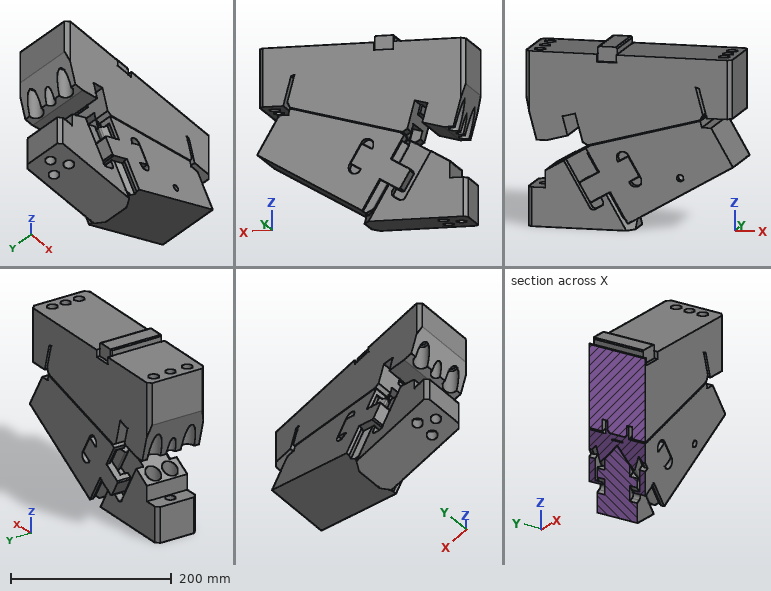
import cadquery as cq
import math

overall_length = 267.0
cam_angle = 15.0
guide_angle = 30.0
body_width = 85.0
corner_chamfer = 5.0
clear_hole = 13.0
bolt_hole = 13.5
bolt_head = 20.0
vee_angle = 30.0
vee_slope = math.tan(math.radians(vee_angle))
reach = 2 * overall_length

driver_length = 265.0
driver_top = 224.8
driver_rear_bottom = 150.0
nose_slope_top = 167.0
foot_bottom = 112.5
foot_cam_offset = 101.5
notch_start = 83.5
cam_start = 100.5
cam_end = 260.3
rear_slot_width = 4.0
rear_slot_top = 126.0
rear_slot_drop = 3.0
notch_top = 126.5
cam_face = 84.5
cam_chamfer = 5.0
cam_groove_half = 22.2
cam_groove_top = 99.9
lug_thickness = 2.7
lug_bottom = 113.8
keel_half = 15.0
keel_bottom = 84.0
keel_chamfer = 3.2
key_start = 92.0
key_width = 25.0
key_length = 75.3
key_slot_floor = 215.0
key_top = 234.0
key_front_bevel = 1.0
key_bevel = 2.0
front_hole_x = 15.0
front_bolt_spread = 25.0
front_bolt_seat = 165.5
rear_hole_x = 250.0
rear_bolt_spread = 20.0

base_width = 60.3
base_length = 135.5
ledge_height = 50.0
ledge_length = 22.5
shoulder_height = 71.5
vee_crest = 127.5
neck_half = 19.5
pocket_start = 83.0
pocket_bottom = -21.4
pocket_radius = 5.0
lip_start = 102.0
lip_top = 7.5
base_bolt_x = 35.0
base_bolt_spread = 12.5
base_bolt_seat = 20.0

slide_bottom = -56.0
slide_front = 120.0
slide_front_top = 52.0
slide_top = 83.0
slide_top_start = 108.1
slide_top_end = 255.0
rear_step_height = 138.0
tip_top = 44.5
tip_chamfer_start = -44.9
tip_chamfer_end = 118.0
tip_radius = 2.1
land_half = 38.0
root_half = 32.3
relief_half = 25.6
tongue_half = 17.5
tongue_bottom = 77.5
tongue_start = 111.5
tongue_end = 253.7
tongue_top = 98.8
strap_bottom = -11.0
strap_top = 18.0
strap_start = 90.5
strap_end = 163.1
strap_thickness = 9.3
hook_length = 9.3
hook_inner = 22.5
strap_chamfer = 2.0
recess_along = 156.0
recess_radius = 8.0
recess_centre_low = -12.8
recess_centre_high = 19.2
side_hole_along = 208.8
side_hole_across = -36.5
side_hole_diameter = 8.5
side_hole_depth = 8.0
drill_half_angle = 59.0


def tilted(angle, along, across):
    """Side-plane point (x, z) given by distances along and square to a slope."""
    c = math.cos(math.radians(angle))
    s = math.sin(math.radians(angle))
    return (along * c - across * s, along * s + across * c)


def on_cam(along, across):
    return tilted(cam_angle, along, across)


def on_guide(along, across):
    return tilted(guide_angle, along, across)


def cam_at_height(along, z):
    """Point at height z on the line square to the cam slope."""
    a = math.radians(cam_angle)
    return on_cam(along, (z - along * math.sin(a)) / math.cos(a))


def guide_at_height(along, z):
    """Point at height z on the line square to the working direction."""
    a = math.radians(guide_angle)
    return on_guide(along, (z - along * math.sin(a)) / math.cos(a))


def slab(points, y_low, y_high):
    """Prism of a side outline between two Y positions."""
    return cq.Workplane("XZ", origin=(0, y_high, 0)).polyline(points).close().extrude(y_high - y_low)


def box_on(place, along, across, y_low, y_high):
    """Tilted block with (low, high) ranges along and square to a slope."""
    corners = [
        place(along[0], across[0]),
        place(along[1], across[0]),
        place(along[1], across[1]),
        place(along[0], across[1]),
    ]
    return slab(corners, y_low, y_high)


def upright(x, y, diameter, z_low, z_high):
    return cq.Workplane("XY", origin=(x, y, z_low)).circle(diameter / 2).extrude(z_high - z_low)


def side_ranges(inner, outer):
    """Y ranges of a feature repeated on both sides of the middle plane."""
    return [(-outer, -inner), (inner, outer)]


def corner(block, along, across, y=0):
    """Select the edge of a block whose middle is nearest a point placed on the guide."""
    x, z = on_guide(along, across)
    return block.edges(cq.selectors.NearestToPointSelector((x, y, z)))


def guide_section(start):
    """Plane across the guide: local x runs across the width, local y along the working direction."""
    x, z = on_guide(0, start)
    dx, dz = on_guide(0, 1)
    plane = cq.Plane(origin=(x, 0, z), xDir=(0, -1, 0), normal=(dx, 0, dz))
    return cq.Workplane(plane)


def make_driver():
    a = math.radians(cam_angle)
    nose_foot_x = (nose_slope_top - foot_bottom) * math.tan(a)
    foot_heel_x = (foot_bottom * math.cos(a) - foot_cam_offset) / math.sin(a)
    outline = [
        (0, driver_top),
        (0, nose_slope_top),
        (nose_foot_x, foot_bottom),
        (foot_heel_x, foot_bottom),
        on_cam(notch_start, foot_cam_offset),
        on_cam(notch_start, notch_top),
        on_cam(cam_start, notch_top),
        on_cam(cam_start, cam_face + cam_chamfer),
        on_cam(cam_start + cam_chamfer, cam_face),
        on_cam(cam_end - cam_chamfer, cam_face),
        on_cam(cam_end, cam_face + cam_chamfer),
        on_cam(cam_end, rear_slot_top),
        on_cam(cam_end + rear_slot_width, rear_slot_top - rear_slot_drop),
        cam_at_height(cam_end + rear_slot_width, driver_rear_bottom),
        (driver_length, driver_rear_bottom),
        (driver_length, driver_top),
    ]
    body = slab(outline, -body_width / 2, body_width / 2)
    plan = (
        cq.Workplane("XY")
        .box(driver_length, body_width, driver_top, centered=(False, True, False))
        .edges("|Z")
        .chamfer(corner_chamfer)
    )
    body = body.intersect(plan)

    groove = box_on(on_cam, (cam_start, cam_end), (0, cam_groove_top), -cam_groove_half, cam_groove_half)
    lug_points = [
        on_cam(cam_start, notch_top),
        on_cam(cam_start - lug_thickness, notch_top),
        on_cam(cam_start - lug_thickness, lug_bottom + lug_thickness),
        on_cam(cam_start, lug_bottom),
    ]
    body = body.cut(groove).union(slab(lug_points, -keel_half, keel_half)).union(make_keel())

    for y in (-front_bolt_spread, front_bolt_spread):
        body = body.cut(upright(front_hole_x, y, bolt_hole, 0, driver_top))
        body = body.cut(upright(front_hole_x, y, bolt_head, 0, front_bolt_seat))
    for y in (-rear_bolt_spread, rear_bolt_spread):
        body = body.cut(upright(rear_hole_x, y, bolt_hole, 0, driver_top))
    for x in (front_hole_x, rear_hole_x):
        body = body.cut(upright(x, 0, clear_hole, 0, driver_top))

    return body.cut(key_block(body_width, driver_top)).union(make_key())


def make_keel():
    """Bevelled keel in the driver's groove that runs in a channel of the slide's tongue."""
    x, z = on_cam(tongue_start, 0)
    dx, dz = on_cam(1, 0)
    plane = cq.Plane(origin=(x, 0, z), xDir=(0, 1, 0), normal=(dx, 0, dz))
    return (
        cq.Workplane(plane)
        .polyline([
            (-keel_half, cam_groove_top),
            (-keel_half, keel_bottom + keel_chamfer),
            (keel_chamfer - keel_half, keel_bottom),
            (keel_half - keel_chamfer, keel_bottom),
            (keel_half, keel_bottom + keel_chamfer),
            (keel_half, cam_groove_top),
        ])
        .close()
        .extrude(tongue_end - tongue_start)
    )


def key_block(length, top):
    return cq.Workplane("XY", origin=(key_start, 0, key_slot_floor)).box(
        key_width, length, top - key_slot_floor, centered=(False, True, False)
    )


def make_key():
    key = key_block(key_length, key_top)
    key = key.faces(">Z").edges(">X").chamfer(key_bevel)
    top_bevel = [
        (key_start, key_top - key_bevel),
        (key_start + key_front_bevel, key_top),
        (key_start, key_top),
    ]
    end_bevel = [
        (key_start, key_length / 2 - key_bevel),
        (key_start + key_front_bevel, key_length / 2),
        (key_start, key_length / 2),
    ]
    key = key.cut(slab(top_bevel, -key_length / 2, key_length / 2))
    return key.cut(cq.Workplane("XY").polyline(end_bevel).close().extrude(key_top))


def base_slope_offset():
    """Height of the sloping top square to the working direction."""
    a = math.radians(guide_angle)
    return shoulder_height * math.cos(a) - ledge_length * math.sin(a)


def make_base():
    half = base_width / 2
    rise = (base_length - ledge_length) * math.tan(math.radians(guide_angle))
    outline = [
        (0, 0),
        (base_length, 0),
        (base_length, shoulder_height + rise),
        (ledge_length, shoulder_height),
        (ledge_length, ledge_height),
        (0, ledge_height),
    ]
    body = slab(outline, -half, half).edges("|Z and <X").chamfer(corner_chamfer)
    vee = (
        guide_section(-reach / 2)
        .polyline([
            (-half, -reach),
            (half, -reach),
            (half, vee_crest - half * vee_slope),
            (0, vee_crest),
            (-half, vee_crest - half * vee_slope),
        ])
        .close()
        .extrude(reach)
    )
    body = body.intersect(vee)

    top = base_slope_offset() + pocket_radius
    for y_low, y_high in side_ranges(neck_half, half):
        pocket = box_on(on_guide, (pocket_start, lip_start), (pocket_bottom, top), y_low, y_high)
        for along in (pocket_start, lip_start):
            pocket = corner(pocket, along, pocket_bottom, (y_low + y_high) / 2).fillet(pocket_radius)
        opening = box_on(on_guide, (pocket_start, vee_crest), (lip_top, top), y_low, y_high)
        body = body.cut(pocket).cut(opening)

    for y in (-base_bolt_spread, base_bolt_spread):
        body = body.cut(upright(base_bolt_x, y, bolt_hole, 0, base_bolt_seat))
        body = body.cut(upright(base_bolt_x, y, bolt_head, base_bolt_seat, driver_top))
    return body.cut(upright(front_hole_x, 0, clear_hole, 0, ledge_height))


def slide_end():
    """Distance along the working direction that gives the overall length."""
    a = math.radians(guide_angle)
    return (overall_length + slide_bottom * math.sin(a)) / math.cos(a)


def guide_profile():
    """Prism of the slide's front face, and where its tips end.

    The front face has a vee between two rounded tips, then outer grooves and lands.
    """
    half = body_width / 2
    root = slide_front + (land_half - root_half) * vee_slope
    flank = 1 / vee_slope
    tip_half = (vee_crest - root + flank * root_half) / (flank + vee_slope)
    tip = vee_crest - tip_half * vee_slope
    right = [
        (tip_half, tip),
        (root_half, root),
        (land_half, slide_front),
        (half, slide_front),
        (half, reach),
    ]
    left = [(-y, u) for y, u in reversed(right)]
    prism = (
        guide_section(-reach / 2)
        .polyline([(0, vee_crest)] + right + left)
        .close()
        .extrude(reach)
    )
    for y in (-tip_half, tip_half):
        prism = corner(prism, tip, 0, y).fillet(tip_radius)
    return prism, tip


def make_slide():
    half = body_width / 2
    profile, tip = guide_profile()
    outline = [
        on_guide(tip, tip_chamfer_start),
        on_guide(tip, tip_top),
        on_guide(slide_front, tip_top),
        on_guide(slide_front, slide_front_top),
        on_cam(slide_top_start, slide_top),
        on_cam(slide_top_end, slide_top),
        cam_at_height(slide_top_end, rear_step_height),
        guide_at_height(slide_end(), rear_step_height),
        on_guide(slide_end(), slide_bottom),
        on_guide(tip_chamfer_end, slide_bottom),
    ]
    body = slab(outline, -half, half)
    guide_zone = box_on(on_guide, (tip, slide_end()), (slide_bottom, tip_top), -half, half)
    body = body.cut(guide_zone.cut(profile)).cut(top_relief()).union(make_tongue())

    recess_low = recess_centre_low - recess_radius
    recess_high = recess_centre_high + recess_radius
    for y_low, y_high in side_ranges(half - strap_thickness, half):
        body = body.cut(round_slot(recess_low, recess_high, y_low, y_high))
        body = body.union(strap_block(strap_end, y_low, y_high))
    for y_low, y_high in side_ranges(hook_inner, half):
        body = body.union(strap_block(strap_start + hook_length, y_low, y_high))
    return body.cut(side_hole())


def round_slot(low, high, y_low, y_high):
    """Round-ended slot across the working direction."""
    length = high - low
    x, z = on_guide(recess_along, (low + high) / 2)
    return (
        cq.Workplane("XZ", origin=(x, y_high, z))
        .slot2D(length, 2 * recess_radius, 90 + guide_angle)
        .extrude(y_high - y_low)
    )


def strap_block(end, y_low, y_high):
    """Part of the strap from its bevelled front end."""
    block = box_on(on_guide, (strap_start, end), (strap_bottom, strap_top), y_low, y_high)
    for across in (strap_bottom, strap_top):
        block = corner(block, strap_start, across, (y_low + y_high) / 2).chamfer(strap_chamfer)
    return block


def top_relief():
    """Vee clearance above the guide tips."""
    crest = slide_front + relief_half * vee_slope
    return (
        guide_section(tip_top)
        .polyline([(-relief_half, slide_front), (0, crest), (relief_half, slide_front)])
        .close()
        .extrude(reach)
    )


def make_tongue():
    """Tongue that fills the driver's groove around the keel."""
    tongue = box_on(
        on_cam, (tongue_start, tongue_end), (tongue_bottom, tongue_top), -tongue_half, tongue_half
    )
    return tongue.cut(make_keel())


def side_hole():
    """Blind drilled hole with a conical bottom in the -Y side."""
    x, z = on_guide(side_hole_along, side_hole_across)
    radius = side_hole_diameter / 2
    cone = radius / math.tan(math.radians(drill_half_angle))
    return (
        cq.Workplane("XY", origin=(x, -body_width / 2, z))
        .polyline([(0, 0), (radius, 0), (radius, side_hole_depth), (0, side_hole_depth + cone)])
        .close()
        .revolve(360, (0, 0, 0), (0, 1, 0))
    )


driver = make_driver()
base = make_base()
slide = make_slide()
result = cq.Compound.makeCompound([driver.solids().val(), base.solids().val(), slide.solids().val()])